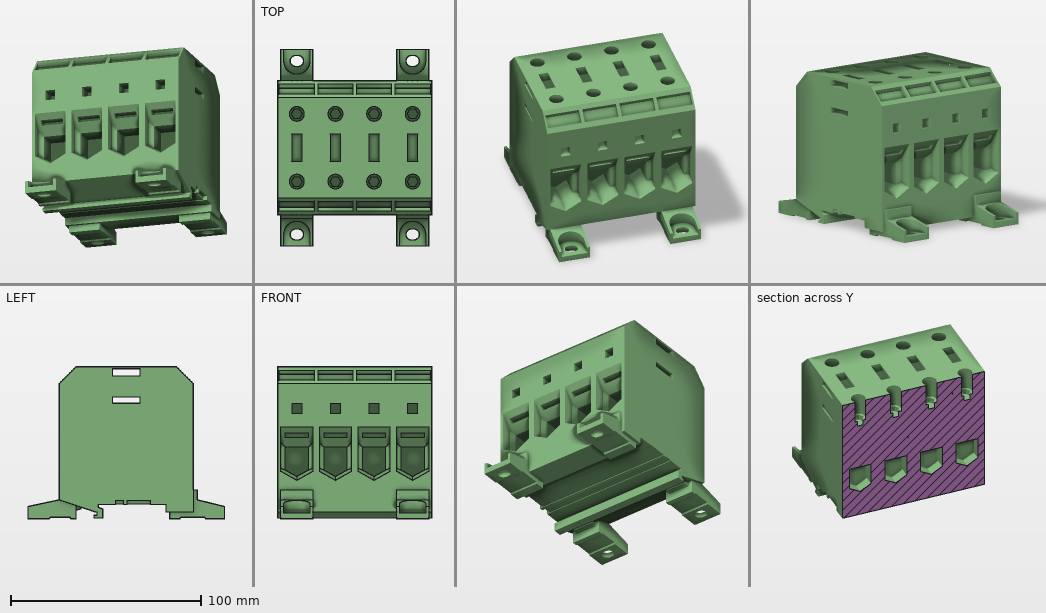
import cadquery as cq
import math

width = 81.2
length = 103.4
height = 80.0

pole_count = 4
pitch = width / pole_count
pole_xs = [(i - (pole_count - 1) / 2) * pitch for i in range(pole_count)]
body_depth = 70.6
front_y = -body_depth / 2
back_y = body_depth / 2
top_chamfer = 9.0
heel_z = 3.5
heel_back_y = -20.9
rail_z = 7.4
back_wall_z = 10.0
hook_y = 12.3
hook_bottom_z = 0.4
undercut_y = 14.7
undercut_z = 6.2
hook_top_z = 5.2
lip_y = 17.0
lip_top_z = 2.0
hook_back_y = 15.4
tail_y = 16.0

window_width = 18.5
window_height = 7.2
window_depth = 2.5
window_floor_inset = 0.8
window_straight_depth = 0.5

screw_hole_diameter = 7.8
screw_hole_depth = 12.4
screw_y = 17.8
hex_across_flats = 5.1
hex_depth = 3.1
top_slot_width = 5.3
slot_length = 14.4
upper_slot_bottom_z = 75.2
upper_slot_height = 3.7
lower_slot_bottom_z = 60.8
lower_slot_height = 3.2
test_hole_size = 5.3
test_hole_z = 57.9
test_hole_depth = 10.3

entry_width = 17.0
entry_top_z = 48.4
entry_corner_z = 25.0
entry_tip_z = 20.3
funnel_depth = 8.0
funnel_straight_depth = 6.2
funnel_floor_rise = 2.0
shaft_width = 12.2
shaft_top_z = 37.7
shaft_depth = 12.4
ceiling_slot_bottom_z = 42.8
ceiling_slot_height = 2.4

notches = [(-12.7, -0.5), (1.3, 5.7)]
notch_top_z = 9.7
notch_floor_z = 7.8
notch_depth = 2.1

foot_width = 17.0
foot_end_y = length / 2
foot_end_z = 6.5
foot_root_z = 10.0
front_foot_inner_y = -22.9
upstand_y = -37.3
upstand_z = 15.2
back_foot_inner_y = 26.4
nose_end_y = 23.9
nose_width = 12.4
nose_tip_z = 5.2
nose_root_z = 4.5
relief_height = 0.78
relief_slope = 0.5
front_relief = (-41.8, -28.1)
back_relief = (29.1, 40.5)
seat_radius = 6.9
seat_y = 45.6
seat_z = 3.1
bolt_slot_length = 6.9
bolt_slot_diameter = 5.7


def block(x_range, y_range, z_range):
    """Box given by its limits along each axis."""
    size = [high - low for low, high in (x_range, y_range, z_range)]
    corner = (x_range[0], y_range[0], z_range[0])
    return cq.Workplane("XY").box(*size, centered=False).translate(corner)


def side_extrusion(points, center_x, thickness):
    """Extrude a (y, z) outline along X, centred on center_x."""
    profile = cq.Workplane("YZ").workplane(offset=center_x).polyline(points).close()
    return profile.extrude(thickness / 2, both=True)


def at_poles(shape):
    """Copies of a shape modelled at x = 0, one at each pole."""
    copies = cq.Workplane("XY")
    for x in pole_xs:
        copies = copies.add(shape.translate((x, 0, 0)))
    return copies.combine()


def front_and_back(shape):
    """A front shape together with its mirror image at the back."""
    return shape.union(shape.mirror("XZ"))


def housing():
    """Body with chamfered top edges, rail seat, rail hook and sloping tail."""
    outline = [
        (front_y, heel_z),
        (heel_back_y, heel_z),
        (heel_back_y, rail_z),
        (undercut_y, rail_z),
        (undercut_y, undercut_z),
        (hook_y, hook_top_z),
        (hook_y, hook_bottom_z),
        (lip_y, hook_bottom_z),
        (lip_y, lip_top_z),
        (hook_back_y, lip_top_z),
        (hook_back_y, heel_z),
        (tail_y, heel_z),
        (back_y, back_wall_z),
        (back_y, height - top_chamfer),
        (back_y - top_chamfer, height),
        (front_y + top_chamfer, height),
        (front_y, height - top_chamfer),
    ]
    return side_extrusion(outline, 0, width)


def rail_notches():
    """Shallow steps across the rail seat that deepen into notches at the -X side."""
    left_x = -width / 2
    cutter = cq.Workplane("XY")
    for y_range in notches:
        step = block((left_x, -left_x), y_range, (0, notch_floor_z))
        notch = block((left_x, left_x + notch_depth), y_range, (0, notch_top_z))
        cutter = cutter.add(step).add(notch)
    return cutter.combine()


def label_window():
    """Recess in the front top chamfer, with long walls that slope in towards the floor."""
    center = (0, front_y + top_chamfer / 2, height - top_chamfer / 2)
    section_plane = cq.Plane(origin=center, xDir=(0, 1, 1), normal=(1, 0, 0))
    half_opening = window_height / 2
    half_floor = half_opening - window_floor_inset
    slope_end = window_straight_depth - window_depth
    section = cq.Workplane(section_plane).polyline([
        (half_opening, 0),
        (half_floor, slope_end),
        (half_floor, -window_depth),
        (-half_floor, -window_depth),
        (-half_floor, slope_end),
        (-half_opening, 0),
    ])
    return section.close().extrude(window_width / 2, both=True)


def screw_hole():
    """Round access hole in the top with a hexagon socket at its bottom."""
    hex_across_corners = hex_across_flats / math.cos(math.pi / 6)
    top = cq.Workplane("XY", origin=(0, -screw_y, height))
    hole = top.circle(screw_hole_diameter / 2).extrude(-screw_hole_depth)
    socket = top.polygon(6, hex_across_corners).extrude(-screw_hole_depth - hex_depth)
    return hole.union(socket)


def top_slot():
    """Slot in the top that opens into the upper side slot."""
    half_width = top_slot_width / 2
    half_length = slot_length / 2
    return block((-half_width, half_width), (-half_length, half_length), (upper_slot_bottom_z, height))


def side_slot(bottom_z, slot_height):
    """Slot that runs through the whole body along X."""
    half_length = slot_length / 2
    z_range = (bottom_z, bottom_z + slot_height)
    return block((-width / 2, width / 2), (-half_length, half_length), z_range)


def test_hole():
    """Blind square hole in the front face."""
    half = test_hole_size / 2
    z_range = (test_hole_z - half, test_hole_z + half)
    return block((-half, half), (front_y, front_y + test_hole_depth), z_range)


def v_prism(base_width, corner_z, tip_z, top_z, start_y, direction):
    """Prism with a flat top and a V-shaped floor, extruded along a direction."""
    half = base_width / 2
    points = [
        (0, start_y, tip_z),
        (half, start_y, corner_z),
        (half, start_y, top_z),
        (-half, start_y, top_z),
        (-half, start_y, corner_z),
    ]
    wire = cq.Wire.makePolygon([cq.Vector(*p) for p in points], close=True)
    return cq.Workplane(cq.Solid.extrudeLinear(wire, [], cq.Vector(*direction)))


def wire_entry():
    """Funnel narrowing from the front face into a straight shaft, with a ceiling slot."""
    funnel_end_y = front_y + funnel_depth
    half_entry = entry_width / 2
    half_shaft = shaft_width / 2

    rising_floor = v_prism(
        entry_width, entry_corner_z, entry_tip_z, entry_top_z, front_y,
        (0, funnel_depth, funnel_floor_rise),
    )
    plan = (
        cq.Workplane("XY")
        .polyline([
            (-half_entry, front_y),
            (half_entry, front_y),
            (half_entry, front_y + funnel_straight_depth),
            (half_shaft, funnel_end_y),
            (-half_shaft, funnel_end_y),
            (-half_entry, front_y + funnel_straight_depth),
        ])
        .close()
        .extrude(height)
    )
    under_ceiling = side_extrusion(
        [(front_y, 0), (front_y, entry_top_z), (funnel_end_y, shaft_top_z), (funnel_end_y, 0)],
        0, entry_width,
    )
    funnel = rising_floor.intersect(plan).intersect(under_ceiling)

    floor_slope = (entry_corner_z - entry_tip_z) / half_entry
    shaft_tip_z = entry_tip_z + funnel_floor_rise
    shaft_corner_z = shaft_tip_z + floor_slope * half_shaft
    shaft = v_prism(
        shaft_width, shaft_corner_z, shaft_tip_z, shaft_top_z, funnel_end_y, (0, shaft_depth, 0)
    )

    ceiling_slope = (entry_top_z - shaft_top_z) / funnel_depth
    slot_top_z = ceiling_slot_bottom_z + ceiling_slot_height
    slot_start_y = front_y + (entry_top_z - slot_top_z) / ceiling_slope
    ceiling_slot = block(
        (-half_shaft, half_shaft), (slot_start_y, funnel_end_y), (ceiling_slot_bottom_z, slot_top_z)
    )
    return funnel.union(shaft).union(ceiling_slot)


def foot_relief(y_range, center_x):
    """Shallow hollow with sloping ends under a foot."""
    start, end = y_range
    outline = [
        (start, 0),
        (start + relief_slope, relief_height),
        (end - relief_slope, relief_height),
        (end, 0),
    ]
    return side_extrusion(outline, center_x, foot_width)


def bolt_seat(center_x, side):
    """Round-ended seat open at the foot's end, with a bolt slot; side is -1 front, 1 back."""
    center = (center_x, side * seat_y, seat_z)
    seat = cq.Workplane("XY", origin=center).circle(seat_radius).extrude(height)
    run_out = foot_end_y - seat_y
    channel = (
        cq.Workplane("XY", origin=center)
        .center(0, side * run_out / 2)
        .rect(2 * seat_radius, run_out)
        .extrude(height)
    )
    bolt_slot = (
        cq.Workplane("XY", origin=(center_x, side * seat_y, 0))
        .slot2D(bolt_slot_length, bolt_slot_diameter)
        .extrude(height)
    )
    return seat.union(channel).union(bolt_slot)


def front_foot(center_x):
    """Front foot with an upstand against the front face."""
    outline = [
        (-foot_end_y, 0),
        (-foot_end_y, foot_end_z),
        (upstand_y, foot_root_z),
        (upstand_y, upstand_z),
        (front_y, upstand_z),
        (front_y, heel_z),
        (front_foot_inner_y, heel_z),
        (front_foot_inner_y, 0),
    ]
    foot = side_extrusion(outline, center_x, foot_width)
    return foot.cut(foot_relief(front_relief, center_x)).cut(bolt_seat(center_x, -1))


def back_foot(center_x):
    """Back foot with a small latch nose under the sloping tail."""
    outline = [
        (foot_end_y, 0),
        (foot_end_y, foot_end_z),
        (back_y, foot_root_z),
        (back_foot_inner_y, foot_root_z),
        (back_foot_inner_y, 0),
    ]
    nose_outline = [
        (back_foot_inner_y, foot_root_z),
        (nose_end_y, foot_root_z),
        (nose_end_y, nose_tip_z),
        (back_foot_inner_y, nose_root_z),
    ]
    foot = side_extrusion(outline, center_x, foot_width)
    foot = foot.cut(foot_relief(back_relief, center_x)).cut(bolt_seat(center_x, 1))
    return foot.union(side_extrusion(nose_outline, center_x, nose_width))


body = housing().cut(rail_notches())
for foot_x in (pole_xs[0], pole_xs[-1]):
    body = body.union(front_foot(foot_x)).union(back_foot(foot_x))

for opening in (label_window(), screw_hole(), test_hole(), wire_entry()):
    body = body.cut(at_poles(front_and_back(opening)))

body = body.cut(at_poles(top_slot()))
body = body.cut(side_slot(upper_slot_bottom_z, upper_slot_height))
body = body.cut(side_slot(lower_slot_bottom_z, lower_slot_height))

result = body